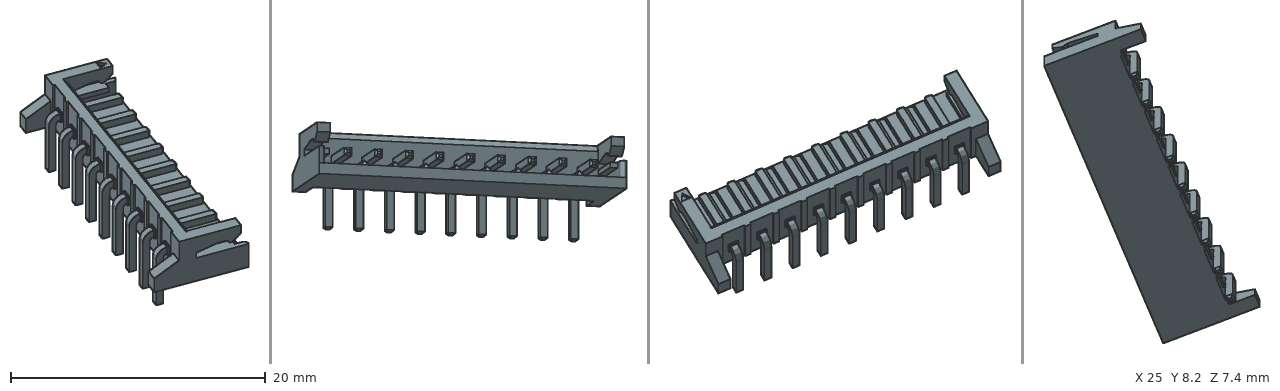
import cadquery as cq


length = 25.0
height = 4.22
floor_height = 0.88
wall_front_y = -6.05
wall_back_y = -4.55
wall_bevel_run = 0.42
wall_bevel_drop = 0.52

end_width = 1.08
side_wall = 0.48
side_wall_height = 2.22
side_wall_rounding = 0.38
ledge_back_y = -1.0
ledge_thickness = 0.42
arm_back_y = -0.68
arm_tip_z = 3.48
hook_z = 2.82
hook_back_y = -1.42
hook_front_y = -1.65
notch_z = 3.12
notch_back_y = -1.95
notch_front_y = -2.6
arm_root_z = 2.72
foot_front_y = -8.2
foot_top_z = 2.42
foot_front_z = 1.32

pin_count = 9
pitch = 2.5
pin_size = 0.62
pin_top_z = 2.3
pin_back_y = -0.5
pin_front_y = -7.02
pin_bottom_z = -3.18
pin_tip_length = 0.18
pin_tip_inset = 0.2
bend_radius = 0.95

panel_depth = 0.15
rib_width = 0.5
collar_size = 0.85
ridge_width = 0.62
ridge_height = 0.45
ridge_hip_length = 0.45

mark_width = 0.8
mark_length = 0.65
mark_back_y = -1.0
mark_depth = 0.25

half_length = length / 2
pin_positions = [(i - (pin_count - 1) / 2) * pitch for i in range(pin_count)]
gap_positions = [x + pitch / 2 for x in pin_positions[:-1]]


def box(x0, x1, y0, y1, z0, z1):
    """Box between two opposite corners."""
    return cq.Workplane("XY").box(x1 - x0, y1 - y0, z1 - z0, centered=False).translate((x0, y0, z0))


def side_profile(points, x_start, width):
    """Prism with a (Y, Z) outline, extruded along +X."""
    return cq.Workplane("YZ", origin=(x_start, 0, 0)).polyline(points).close().extrude(width)


def make_floor_and_wall():
    floor = box(-half_length, half_length, wall_front_y, 0, 0, floor_height)
    wall_outline = [
        (wall_front_y, 0),
        (wall_back_y, 0),
        (wall_back_y, height - wall_bevel_drop),
        (wall_back_y - wall_bevel_run, height),
        (wall_front_y, height),
    ]
    return floor.union(side_profile(wall_outline, -half_length, length))


def make_left_end():
    """Side wall, ledge, latch arm and foot at the -X end."""
    block_outline = [
        (foot_front_y, 0),
        (wall_back_y, 0),
        (wall_back_y, arm_root_z),
        (notch_front_y, notch_z),
        (notch_back_y, notch_z),
        (hook_front_y, hook_z),
        (hook_back_y, hook_z),
        (arm_back_y, arm_tip_z),
        (arm_back_y, height),
        (wall_front_y, height),
        (wall_front_y, foot_top_z),
        (foot_front_y, foot_front_z),
    ]
    end = side_profile(block_outline, -half_length, end_width)
    side = box(-half_length, -half_length + side_wall, wall_back_y, 0, 0, side_wall_height)
    side = side.edges("|Z and >X and >Y").fillet(side_wall_rounding)
    ledge = box(
        -half_length,
        -half_length + end_width,
        wall_back_y,
        ledge_back_y,
        side_wall_height - ledge_thickness,
        side_wall_height,
    )
    return end.union(side).union(ledge)


def make_panel(x):
    """Recess cut into the front of the pin wall around one pin, leaving a collar."""
    half_width = (pitch - rib_width) / 2
    panel_back_y = wall_front_y + panel_depth
    panel = box(x - half_width, x + half_width, wall_front_y, panel_back_y, 0, height)
    half_collar = collar_size / 2
    collar_z = pin_top_z - pin_size / 2
    collar = box(
        x - half_collar,
        x + half_collar,
        wall_front_y,
        panel_back_y,
        collar_z - half_collar,
        collar_z + half_collar,
    )
    return panel.cut(collar)


def make_ridge(x):
    """Roof-shaped ridge on the floor with a sloping end at the mating face."""
    half_width = ridge_width / 2
    roof = (
        cq.Workplane("XZ", origin=(x, 0, floor_height))
        .polyline([(-half_width, 0), (half_width, 0), (0, ridge_height)])
        .close()
        .extrude(-wall_back_y)
    )
    hip_outline = [
        (0, floor_height),
        (0, floor_height + ridge_height),
        (-ridge_hip_length, floor_height + ridge_height),
    ]
    return roof.cut(side_profile(hip_outline, x - half_width, ridge_width))


def make_tip(plane):
    """Blunt pyramid that ends a pin, standing on the given plane."""
    end_size = pin_size - 2 * pin_tip_inset
    return (
        cq.Workplane(plane)
        .rect(pin_size, pin_size)
        .workplane(offset=pin_tip_length)
        .rect(end_size, end_size)
        .loft()
    )


def make_pin(x):
    half = pin_size / 2
    shank_back_y = pin_back_y - pin_tip_length
    shank_bottom_z = pin_bottom_z + pin_tip_length
    inner_radius = bend_radius - pin_size
    bend_y = pin_front_y + bend_radius
    bend_z = pin_top_z - bend_radius
    shank = (
        cq.Workplane("YZ", origin=(x - half, 0, 0))
        .moveTo(shank_back_y, pin_top_z)
        .lineTo(bend_y, pin_top_z)
        .radiusArc((pin_front_y, bend_z), -bend_radius)
        .lineTo(pin_front_y, shank_bottom_z)
        .lineTo(pin_front_y + pin_size, shank_bottom_z)
        .lineTo(pin_front_y + pin_size, bend_z)
        .radiusArc((bend_y, bend_z + inner_radius), inner_radius)
        .lineTo(shank_back_y, pin_top_z - pin_size)
        .close()
        .extrude(pin_size)
    )
    contact_end = cq.Plane(origin=(x, shank_back_y, pin_top_z - half), xDir=(1, 0, 0), normal=(0, 1, 0))
    tail_end = cq.Plane(origin=(x, pin_front_y + half, shank_bottom_z), xDir=(1, 0, 0), normal=(0, 0, -1))
    return shank.union(make_tip(contact_end)).union(make_tip(tail_end))


def make_pin_one_mark():
    """Triangle engraved in the top of the -X latch arm."""
    x = -half_length + end_width / 2
    base_y = mark_back_y - mark_length
    return (
        cq.Workplane("XY", origin=(0, 0, height - mark_depth))
        .polyline([(x - mark_width / 2, base_y), (x + mark_width / 2, base_y), (x, mark_back_y)])
        .close()
        .extrude(mark_depth)
    )


left_end = make_left_end()
result = make_floor_and_wall().union(left_end).union(left_end.mirror("YZ"))
for gap_x in gap_positions:
    result = result.union(make_ridge(gap_x))
for pin_x in pin_positions:
    result = result.cut(make_panel(pin_x))
    result = result.union(make_pin(pin_x))
result = result.cut(make_pin_one_mark())